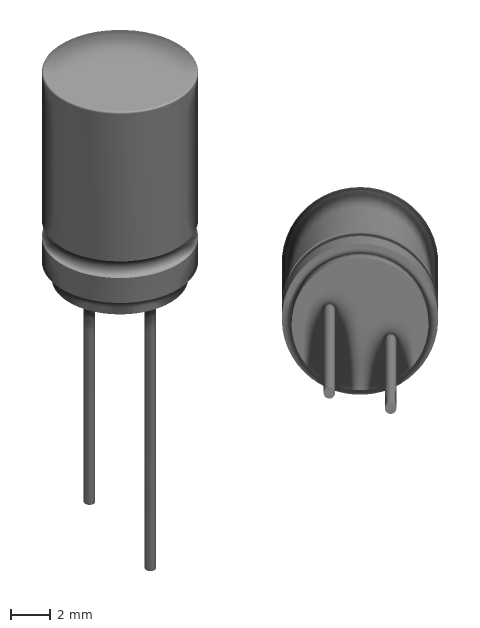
import cadquery as cq

total_height = 29.5

can_diameter = 8.0
can_height = 11.5
rim_radius = 0.1

groove_radius = 0.5
groove_height = 2.0

seal_diameter = 7.0
seal_height = 1.0

lead_diameter = 0.6
lead_spacing = 3.5
short_lead_length = 14.0
long_lead_length = total_height - can_height - seal_height


def make_can():
    """Solid can standing on Z = 0 with a rounded top rim and a round-bottomed groove."""
    can = cq.Workplane("XY").circle(can_diameter / 2).extrude(can_height)
    can = can.faces(">Z").edges().fillet(rim_radius)
    groove = cq.Workplane("XY").add(
        cq.Solid.makeTorus(can_diameter / 2, groove_radius, cq.Vector(0, 0, groove_height))
    )
    return can.cut(groove)


def make_seal():
    """Disc directly below the can."""
    return cq.Workplane("XY").circle(seal_diameter / 2).extrude(-seal_height)


def make_lead(x, length):
    """Round wire hanging from the underside of the seal."""
    return (
        cq.Workplane("XY", origin=(x, 0, -seal_height))
        .circle(lead_diameter / 2)
        .extrude(-length)
    )


result = (
    make_can()
    .union(make_seal())
    .union(make_lead(-lead_spacing / 2, short_lead_length))
    .union(make_lead(lead_spacing / 2, long_lead_length))
)